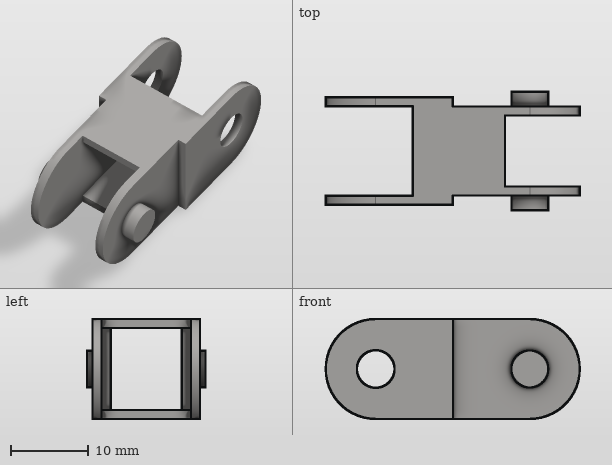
import cadquery as cq


pitch = 20.0
height = 13.0
wall = 1.2
end_radius = height / 2
hole_x = -pitch / 2
pin_x = pitch / 2

wide_width = 14.0
narrow_width = wide_width - 2 * wall
wide_plate_end = 0.0
narrow_plate_end = wide_plate_end - wall

pin_diameter = 4.8
hole_clearance = 0.05
hole_diameter = pin_diameter + hole_clearance
pin_span = 15.4

web_start = -5.2
web_end = 6.8


def mirrored_pair(body, plane):
    return body.union(body.mirror(plane))


def side_plate(pivot_x, flat_end_x, outer_y):
    """Plate rounded about pivot_x and squared off at flat_end_x, its outer face at +outer_y."""
    outward = 1 if pivot_x > flat_end_x else -1
    tip_x = pivot_x + outward * end_radius
    return (
        cq.Workplane("XZ", origin=(0, outer_y, 0))
        .moveTo(flat_end_x, end_radius)
        .lineTo(pivot_x, end_radius)
        .threePointArc((tip_x, 0), (pivot_x, -end_radius))
        .lineTo(flat_end_x, -end_radius)
        .close()
        .extrude(wall)
    )


def cross_cylinder(x, diameter, length):
    """Cylinder along Y, centred on the XZ plane."""
    return cq.Workplane("XZ", origin=(x, 0, 0)).circle(diameter / 2).extrude(length / 2, both=True)


def wide_fork():
    plates = mirrored_pair(side_plate(hole_x, wide_plate_end, wide_width / 2), "XZ")
    return plates.cut(cross_cylinder(hole_x, hole_diameter, wide_width))


def narrow_fork():
    return mirrored_pair(side_plate(pin_x, narrow_plate_end, narrow_width / 2), "XZ")


def pins():
    """Two stub pins standing on the outer faces of the narrow fork."""
    full_pin = cross_cylinder(pin_x, pin_diameter, pin_span)
    return full_pin.cut(cross_cylinder(pin_x, pin_diameter, narrow_width))


def webs():
    length = web_end - web_start
    middle_x = (web_start + web_end) / 2
    middle_z = (height - wall) / 2
    top_web = cq.Workplane("XY", origin=(middle_x, 0, middle_z)).box(length, narrow_width, wall)
    return mirrored_pair(top_web, "XY")


result = wide_fork().union(narrow_fork()).union(webs()).union(pins())